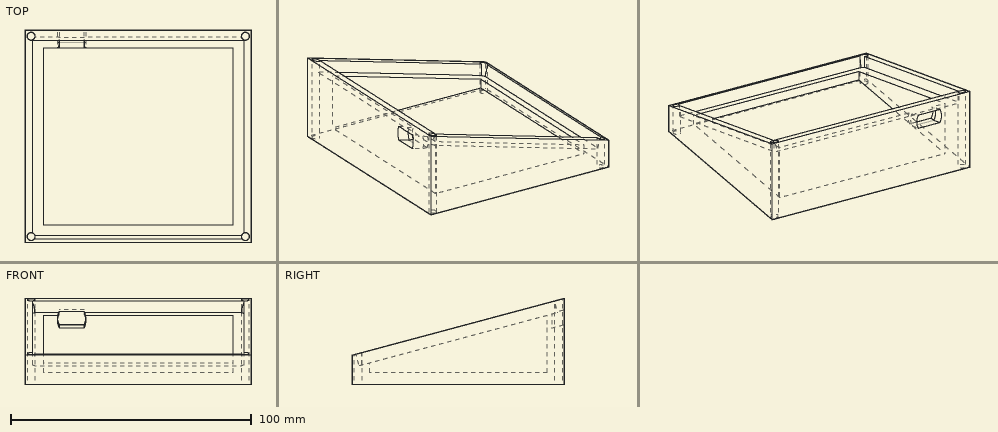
import cadquery as cq
import math

width = 94.0
length = 88.24
back_height = 35.85
slope_angle = 15.0
front_height = back_height - length * math.tan(math.radians(slope_angle))
slope_length = length / math.cos(math.radians(slope_angle))

recess_margin = 3.0
recess_depth = 5.0

floor_thickness = 5.0
cavity_side_wall = 7.7
cavity_end_wall = 7.35

screw_diameter = 3.2
screw_inset = 2.5

port_x = -width / 2 + 19.35
port_diameter = 11.8
port_height = 6.0
port_floor_z = 23.5
port_level_depth = 2.2
port_overrun = 10.0


def wedge():
    profile = [
        (-length / 2, 0),
        (length / 2, 0),
        (length / 2, back_height),
        (-length / 2, front_height),
    ]
    return cq.Workplane("YZ").polyline(profile).close().extrude(width / 2, both=True)


def lid_recess():
    """Rectangular cutter standing square on the recess floor."""
    slope_middle_z = (front_height + back_height) / 2
    floor_middle_z = slope_middle_z - recess_depth / math.cos(math.radians(slope_angle))
    cutter_height = 2 * recess_depth
    return (
        cq.Workplane("XY")
        .rect(width - 2 * recess_margin, slope_length - 2 * recess_margin)
        .extrude(cutter_height)
        .rotate((0, 0, 0), (1, 0, 0), slope_angle)
        .translate((0, 0, floor_middle_z))
    )


def cavity():
    return (
        cq.Workplane("XY")
        .workplane(offset=floor_thickness)
        .rect(width - 2 * cavity_side_wall, length - 2 * cavity_end_wall)
        .extrude(back_height)
    )


def screw_holes():
    return (
        cq.Workplane("XY")
        .rect(width - 2 * screw_inset, length - 2 * screw_inset, forConstruction=True)
        .vertices()
        .circle(screw_diameter / 2)
        .extrude(back_height)
    )


def flattened_bore(start, end):
    """Bore along Y between two stations, with the middle of its flat floor on the Y axis."""
    bore_length = end - start
    middle = (start + end) / 2
    bore = cq.Workplane("XZ").circle(port_diameter / 2).extrude(bore_length / 2, both=True)
    flats = cq.Workplane("XY").box(port_diameter, bore_length, port_height)
    return bore.intersect(flats).translate((0, middle, port_height / 2))


def cable_port():
    bend_y = length / 2 - cavity_end_wall + port_level_depth
    level = flattened_bore(-port_level_depth, 0)
    behind_bend = cq.Workplane("XY").box(
        2 * port_diameter, 2 * port_overrun, 4 * port_height
    ).translate((0, port_overrun, 0))
    sloping = (
        flattened_bore(-port_overrun, port_overrun)
        .rotate((0, 0, 0), (1, 0, 0), slope_angle)
        .intersect(behind_bend)
    )
    return level.union(sloping).translate((port_x, bend_y, port_floor_z))


result = wedge().cut(lid_recess()).cut(cavity()).cut(screw_holes()).cut(cable_port())